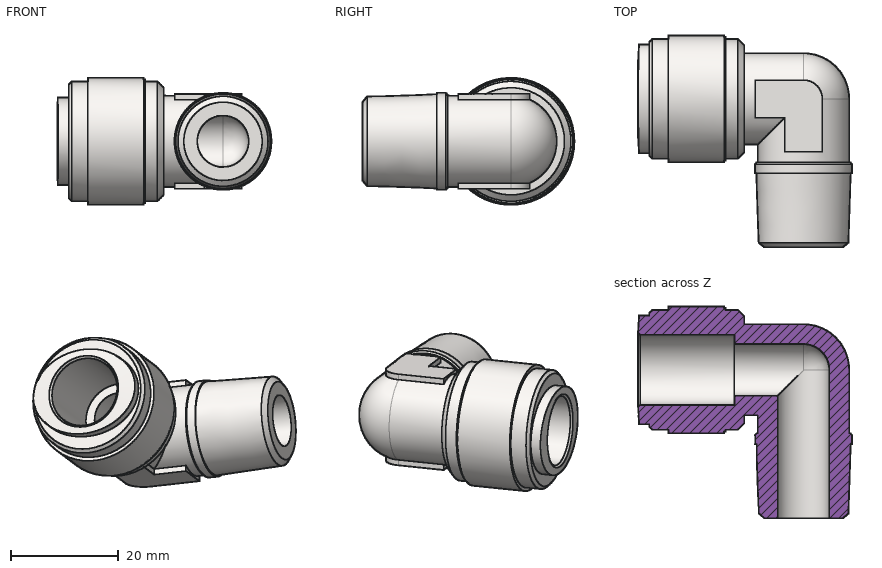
import cadquery as cq


body_radius = 8.5
bore_radius = 4.75

socket_end = 30.7
shell_front = 28.62
band_front = 25.05
band_back = 14.73
lip_back = 14.4
shell_back = 10.95
band_radius = 11.8
lip_radius = 11.47
shell_radius = 11.1
front_chamfer = 0.6
back_chamfer = 1.2

button_half_width = 10.1
button_half_height = 8.15
button_face_drop = 0.2
socket_radius = 6.47
socket_chamfer = 0.4
mouth_radius = socket_radius + socket_chamfer
socket_depth = 17.85

collar_start = 11.7
collar_end = 13.75
collar_radius = 39.7 - socket_end
collar_chamfer = 0.35
thread_end = 39.3 - band_radius
thread_length = thread_end - collar_end
thread_radius = 8.77
thread_taper = 1 / 32
end_chamfer_length = 0.87
end_radius = 7.25

pad_half_width = 3.5
pad_socket_reach = 8.97
pad_thread_reach = 9.8
pad_half_height = 8.8


def rod_x(radius, length):
    """Cylinder from the origin along -X."""
    return cq.Workplane("YZ").circle(radius).extrude(-length)


def rod_y(radius, length):
    """Cylinder from the origin along -Y."""
    return cq.Workplane("XZ").circle(radius).extrude(length)


def elbow(radius, socket_length, thread_length_from_origin):
    """Two rods meeting in a ball-shaped corner."""
    ball = cq.Workplane("XY").sphere(radius)
    return ball.union(rod_x(radius, socket_length)).union(rod_y(radius, thread_length_from_origin))


def socket_shell():
    profile = [
        (-shell_front, 0),
        (-shell_front, shell_radius - front_chamfer),
        (-shell_front + front_chamfer, shell_radius),
        (-band_front, shell_radius),
        (-band_front, band_radius),
        (-band_back, band_radius),
        (-band_back, lip_radius),
        (-lip_back, lip_radius),
        (-lip_back, shell_radius),
        (-shell_back - back_chamfer, shell_radius),
        (-shell_back, shell_radius - back_chamfer),
        (-shell_back, 0),
    ]
    return cq.Workplane("XY").polyline(profile).close().revolve(360, (0, 0, 0), (1, 0, 0))


def release_button():
    """Oval block whose end face slopes back gently from the socket mouth."""
    oval = (
        cq.Workplane("YZ", origin=(-shell_front, 0, 0))
        .ellipse(button_half_width, button_half_height)
        .extrude(shell_front - socket_end)
    )
    profile = [
        (-shell_front, 0),
        (-socket_end, 0),
        (-socket_end, mouth_radius),
        (-socket_end + button_face_drop, button_half_width),
        (-shell_front, button_half_width),
    ]
    cone = cq.Workplane("XY").polyline(profile).close().revolve(360, (0, 0, 0), (1, 0, 0))
    return oval.intersect(cone)


def threaded_arm():
    chamfer_start = thread_end - end_chamfer_length
    tip_radius = thread_radius - thread_taper * thread_length
    profile = [
        (0, -collar_start),
        (collar_radius - collar_chamfer, -collar_start),
        (collar_radius, -collar_start - collar_chamfer),
        (collar_radius, -collar_end),
        (thread_radius, -collar_end),
        (tip_radius, -chamfer_start),
        (end_radius, -thread_end),
        (0, -thread_end),
    ]
    return cq.Workplane("XY").polyline(profile).close().revolve(360, (0, 0, 0), (0, 1, 0))


def wrench_pads():
    """L-shaped prism through the body, leaving a flat pad above and below."""
    w = pad_half_width
    diagonal = w / 2**0.5
    return (
        cq.Workplane("XY", origin=(0, 0, -pad_half_height))
        .moveTo(-pad_socket_reach, w)
        .lineTo(0, w)
        .threePointArc((diagonal, diagonal), (w, 0))
        .lineTo(w, -pad_thread_reach)
        .lineTo(-w, -pad_thread_reach)
        .lineTo(-w, -w)
        .lineTo(-pad_socket_reach, -w)
        .close()
        .extrude(2 * pad_half_height)
    )


def tube_socket():
    """Blind socket with a chamfered mouth."""
    profile = [
        (-socket_end, 0),
        (-socket_end, mouth_radius),
        (-socket_end + socket_chamfer, socket_radius),
        (-socket_end + socket_depth, socket_radius),
        (-socket_end + socket_depth, 0),
    ]
    return cq.Workplane("XY").polyline(profile).close().revolve(360, (0, 0, 0), (1, 0, 0))


outside = elbow(body_radius, shell_back, collar_start)
for feature in (socket_shell(), release_button(), threaded_arm(), wrench_pads()):
    outside = outside.union(feature)

result = outside.cut(elbow(bore_radius, socket_end, thread_end)).cut(tube_socket())